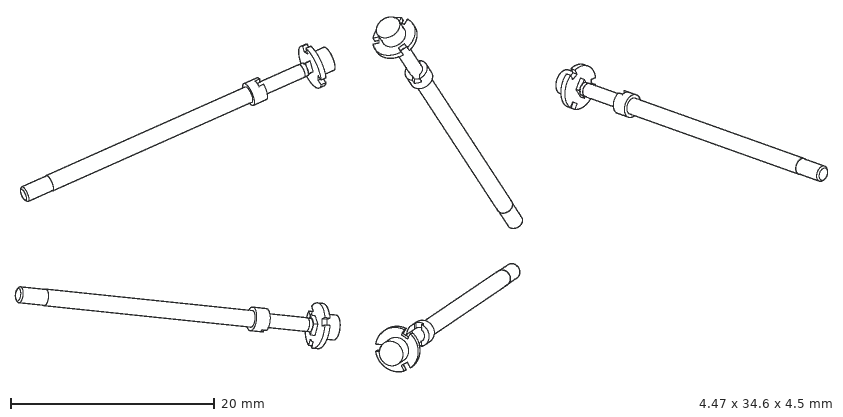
import cadquery as cq

LENGTH = 34.65

HEAD_DIA = 2.5
DISC_DIA = 4.5
NECK_DIA = 1.35
SHAFT_DIA = 1.4
COLLAR_DIA = 2.35
TUBE_DIA = 1.65
TIP_DIA = 1.6
TIP_CHAMFER = 0.17

DISC_START = 1.6
DISC_END = 2.15
DIAMOND_END = 2.67
NECK_END = 3.1
COLLAR_START = 7.62
COLLAR_END = 9.1
TIP_START = 31.7

RIM_NOTCH_COUNT = 3
RIM_NOTCH_WIDTH = 0.73
RIM_NOTCH_FLOOR = 1.6

DIAMOND_WIDTH = 1.28
DIAMOND_HEIGHT = 2.0

COLLAR_SLOT_WIDTH = 0.75
COLLAR_SLOT_DEPTH = 0.52


def section_plane(start):
    """Plane facing the tip (-Y), at a distance from the head end face."""
    return cq.Workplane("XZ", origin=(0, LENGTH - start, 0))


def rod(diameter, start, end):
    return section_plane(start).circle(diameter / 2).extrude(end - start)


def notched_disc():
    disc = rod(DISC_DIA, DISC_START, DISC_END)
    notch_depth = DISC_DIA / 2 - RIM_NOTCH_FLOOR
    cutter = (
        section_plane(DISC_START)
        .center(RIM_NOTCH_FLOOR + notch_depth, 0)
        .rect(2 * notch_depth, RIM_NOTCH_WIDTH)
        .extrude(DISC_END - DISC_START)
    )
    for i in range(RIM_NOTCH_COUNT):
        angle = i * 360 / RIM_NOTCH_COUNT
        disc = disc.cut(cutter.rotate((0, 0, 0), (0, 1, 0), angle))
    return disc


def diamond_key():
    half_width = DIAMOND_WIDTH / 2
    half_height = DIAMOND_HEIGHT / 2
    return (
        section_plane(DISC_END)
        .polyline([(half_width, 0), (0, half_height), (-half_width, 0), (0, -half_height)])
        .close()
        .extrude(DIAMOND_END - DISC_END)
    )


def slotted_collar():
    slot = (
        section_plane(COLLAR_START)
        .rect(COLLAR_SLOT_WIDTH, COLLAR_DIA)
        .extrude(COLLAR_SLOT_DEPTH)
    )
    return rod(COLLAR_DIA, COLLAR_START, COLLAR_END).cut(slot)


def chamfered_tip():
    return rod(TIP_DIA, TIP_START, LENGTH).faces("<Y").chamfer(TIP_CHAMFER)


result = (
    rod(HEAD_DIA, 0, DISC_START)
    .union(notched_disc())
    .union(diamond_key())
    .union(rod(NECK_DIA, DIAMOND_END, NECK_END))
    .union(rod(SHAFT_DIA, NECK_END, COLLAR_END))
    .union(slotted_collar())
    .union(rod(TUBE_DIA, COLLAR_END, TIP_START))
    .union(chamfered_tip())
)